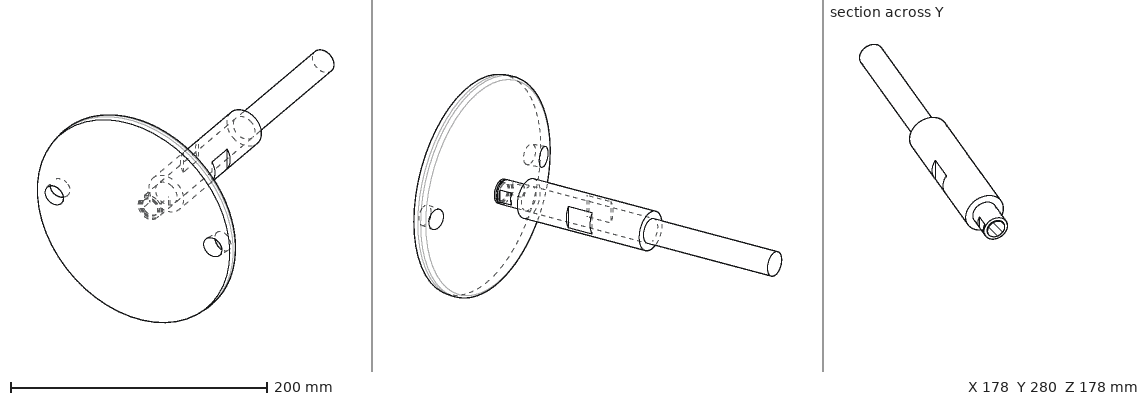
import cadquery as cq
import math

TOTAL_LENGTH = 280

FOOT_DIAMETER = 178.0
UNDERSIDE_DIAMETER = 177.0
RIM_TAPER_HEIGHT = 4.2
RIM_TOP_HEIGHT = 9.5
SHOULDER_RADIUS = 3.0
CONE_TOP_HEIGHT = 22.7
CONE_TOP_DIAMETER = 19.5

COLLAR_TOP_HEIGHT = 23.8
COLLAR_TOP_DIAMETER = 18.5

HOLE_DIAMETER = 16.5
HOLE_OFFSET = 72.8

ROD_DIAMETER = 20.0
ROD_START = 25.5
NECK_DIAMETER = 14.8
SPINDLE_FLAT_START = 27.2
SPINDLE_FLAT_LENGTH = 11.0
SPINDLE_FLAT_WIDTH = 17.0

SLEEVE_DIAMETER = 32.0
SLEEVE_START = 48.5
SLEEVE_LENGTH = 114.8
SLEEVE_FLAT_LENGTH = 22.5
SLEEVE_FLAT_WIDTH = 26.3

foot_radius = FOOT_DIAMETER / 2
cone_top_radius = CONE_TOP_DIAMETER / 2
cone_angle = math.atan2(CONE_TOP_HEIGHT - RIM_TOP_HEIGHT, foot_radius - cone_top_radius)


def cylinder(diameter, start, length):
    """Solid cylinder on the Y axis, from Y = start."""
    return cq.Workplane("XZ", origin=(0, start, 0)).circle(diameter / 2).extrude(-length)


def cut_flats(body, diameter, width, start, length):
    """Cut two wrench flats, facing -X and +X, leaving the given width between them."""
    depth = (diameter - width) / 2
    for side in (-1, 1):
        cutter = cq.Workplane("XY").box(depth, length, diameter)
        body = body.cut(cutter.translate((side * (width + depth) / 2, start + length / 2, 0)))
    return body


def mounting_hole(side):
    """Tilted cutter that leans outward by the cone angle as it rises."""
    direction = cq.Vector(side * math.sin(cone_angle), math.cos(cone_angle), 0)
    middle = cq.Vector(side * HOLE_OFFSET, 0, 0)
    reach = 2 * CONE_TOP_HEIGHT
    return cq.Solid.makeCylinder(HOLE_DIAMETER / 2, 2 * reach, middle - direction * reach, direction)


def make_foot():
    profile = (
        cq.Workplane("XY")
        .lineTo(UNDERSIDE_DIAMETER / 2, 0)
        .lineTo(foot_radius, RIM_TAPER_HEIGHT)
        .lineTo(foot_radius, RIM_TOP_HEIGHT)
        .lineTo(cone_top_radius, CONE_TOP_HEIGHT)
        .lineTo(COLLAR_TOP_DIAMETER / 2, COLLAR_TOP_HEIGHT)
        .lineTo(0, COLLAR_TOP_HEIGHT)
        .close()
    )
    foot = profile.revolve(360, (0, 0, 0), (0, 1, 0))
    foot = foot.edges("%CIRCLE").sort(lambda edge: edge.Center().y)[2].fillet(SHOULDER_RADIUS)
    for side in (-1, 1):
        foot = foot.cut(cq.Workplane(mounting_hole(side)))
    return foot


def make_spindle():
    rod = cylinder(ROD_DIAMETER, ROD_START, TOTAL_LENGTH - ROD_START)
    rod = cut_flats(rod, ROD_DIAMETER, SPINDLE_FLAT_WIDTH, SPINDLE_FLAT_START, SPINDLE_FLAT_LENGTH)
    neck = cylinder(NECK_DIAMETER, COLLAR_TOP_HEIGHT, ROD_START - COLLAR_TOP_HEIGHT)
    return rod.union(neck)


def make_sleeve():
    sleeve = cylinder(SLEEVE_DIAMETER, SLEEVE_START, SLEEVE_LENGTH)
    flat_start = SLEEVE_START + (SLEEVE_LENGTH - SLEEVE_FLAT_LENGTH) / 2
    sleeve = cut_flats(sleeve, SLEEVE_DIAMETER, SLEEVE_FLAT_WIDTH, flat_start, SLEEVE_FLAT_LENGTH)
    return sleeve.cut(cylinder(ROD_DIAMETER, SLEEVE_START, SLEEVE_LENGTH))


foot = make_foot()
spindle = make_spindle()
sleeve = make_sleeve()

result = cq.Compound.makeCompound([foot.val(), spindle.val(), sleeve.val()])